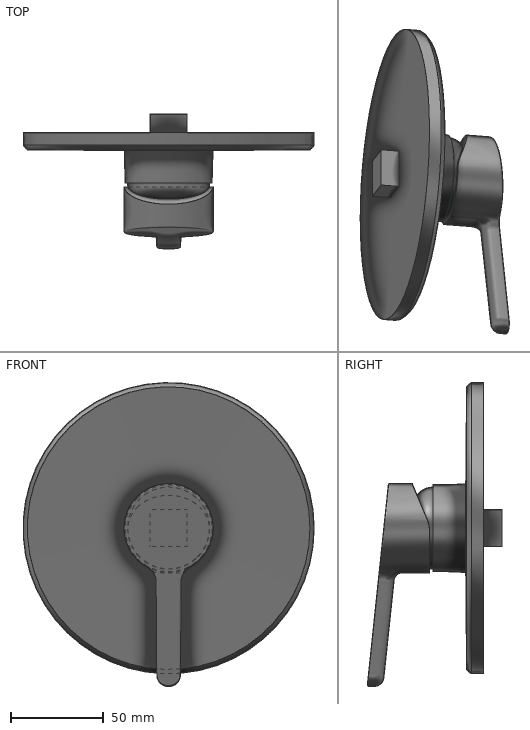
import cadquery as cq
import math


plate_radius = 78.5
plate_side_depth = 6.5
plate_rim_radius = 78.0
plate_rim_depth = 7.4
plate_face_radius = 76.1
plate_face_depth = 9.2
plate_crown_depth = 9.8

stub_side = 20.0
stub_length = 10.0

sleeve_radius = 23.9
sleeve_front_radius = 23.4
sleeve_front_y = -27.2
cap_radius = 22.1
cap_round = 10.6
cap_front_y = sleeve_front_y - cap_round

body_radius = 24.0
body_back_y = -29.1
bevel_start_z = 1.6
bevel_top_y = -38.5
bevel_blend = 16.4
front_top_y = -51.3
tip_y = -62.7
edge_round = 1.0

tip_z = plate_radius - 163.8
lever_thickness = 8.5
lever_root_half_width = 6.7
lever_end_half_width = 6.4
lever_end_z = tip_z + lever_end_half_width
neck_radius = 8.5
underside_radius = 4.3
back_round = 5.2

front_slope = (tip_y - front_top_y) / (body_radius - tip_z)


def front_y(z):
    """Y of the sloping front face at height z."""
    return front_top_y + front_slope * (body_radius - z)


def revolve_about_y(profile):
    """Revolve an (x, y) profile about the Y axis."""
    return profile.close().revolve(360, (0, 0, 0), (0, 1, 0))


def extrude_across(profile, width):
    """Extrude a closed (y, z) profile symmetrically along X."""
    return profile.close().extrude(width / 2, both=True)


def make_plate():
    side = (
        cq.Workplane("XY")
        .lineTo(plate_radius, 0)
        .lineTo(plate_radius, -plate_side_depth)
        .lineTo(plate_rim_radius, -plate_rim_depth)
        .lineTo(plate_face_radius, -plate_face_depth)
        .lineTo(0, -plate_crown_depth)
    )
    return revolve_about_y(side)


def make_stub():
    return cq.Workplane("XY").box(stub_side, stub_length, stub_side).translate((0, stub_length / 2, 0))


def make_sleeve_and_cap():
    diagonal = cap_round * math.sqrt(0.5)
    profile = (
        cq.Workplane("XY")
        .lineTo(sleeve_radius, 0)
        .lineTo(sleeve_radius, -plate_crown_depth)
        .lineTo(sleeve_front_radius, sleeve_front_y)
        .lineTo(cap_radius, sleeve_front_y)
        .threePointArc(
            (cap_radius - cap_round + diagonal, sleeve_front_y - diagonal),
            (cap_radius - cap_round, cap_front_y),
        )
        .lineTo(0, cap_front_y)
    )
    return revolve_about_y(profile)


def make_body():
    cylinder = cq.Workplane("XZ").circle(body_radius).extrude(-tip_y)
    side = extrude_across(
        cq.Workplane("YZ")
        .moveTo(body_back_y, -body_radius)
        .lineTo(body_back_y, bevel_start_z)
        .lineTo(bevel_top_y, body_radius)
        .lineTo(front_y(body_radius), body_radius)
        .lineTo(front_y(-body_radius), -body_radius),
        2 * body_radius,
    )
    bevel_corner = cq.selectors.NearestToPointSelector((0, body_back_y, bevel_start_z))
    return cylinder.intersect(side.edges(bevel_corner).fillet(bevel_blend))


def make_lever():
    neck_x = lever_root_half_width + neck_radius
    neck_z = -math.sqrt((body_radius + neck_radius) ** 2 - neck_x**2)
    on_body = body_radius / (body_radius + neck_radius)
    start_x = neck_x * on_body
    start_z = neck_z * on_body
    middle_angle = (math.atan2(-neck_z, -neck_x) + math.pi) / 2
    middle_x = neck_x + neck_radius * math.cos(middle_angle)
    middle_z = neck_z + neck_radius * math.sin(middle_angle)
    outline = (
        cq.Workplane("XZ")
        .moveTo(start_x, start_z)
        .threePointArc((middle_x, middle_z), (lever_root_half_width, neck_z))
        .lineTo(lever_end_half_width, lever_end_z)
        .threePointArc((0, tip_z), (-lever_end_half_width, lever_end_z))
        .lineTo(-lever_root_half_width, neck_z)
        .threePointArc((-middle_x, middle_z), (-start_x, start_z))
        .close()
        .extrude(-tip_y)
    )

    bend_z = -body_radius
    bend_y = front_y(bend_z) + lever_thickness
    side = extrude_across(
        cq.Workplane("YZ")
        .moveTo(body_back_y, start_z)
        .lineTo(body_back_y, bend_z)
        .lineTo(bend_y, bend_z)
        .lineTo(front_y(tip_z) + lever_thickness, tip_z)
        .lineTo(front_y(tip_z), tip_z)
        .lineTo(front_y(start_z), start_z),
        2 * body_radius,
    )
    bend = cq.selectors.NearestToPointSelector((0, bend_y, bend_z))
    lever = outline.intersect(side.edges(bend).fillet(underside_radius))
    middle_of_lever = (bend_z + tip_z) / 2
    underside_y = front_y(middle_of_lever) + lever_thickness
    underside = cq.selectors.NearestToPointSelector((0, underside_y, middle_of_lever))
    tip_corner = cq.selectors.NearestToPointSelector((0, front_y(tip_z) + lever_thickness, tip_z))
    return lever.faces(underside).edges(tip_corner).fillet(back_round)


def make_handle():
    handle = make_body().union(make_lever())
    front_face = cq.selectors.NearestToPointSelector((0, front_y(-body_radius), -body_radius))
    return handle.clean().faces(front_face).edges().fillet(edge_round)


result = make_plate().union(make_stub()).union(make_sleeve_and_cap()).union(make_handle())